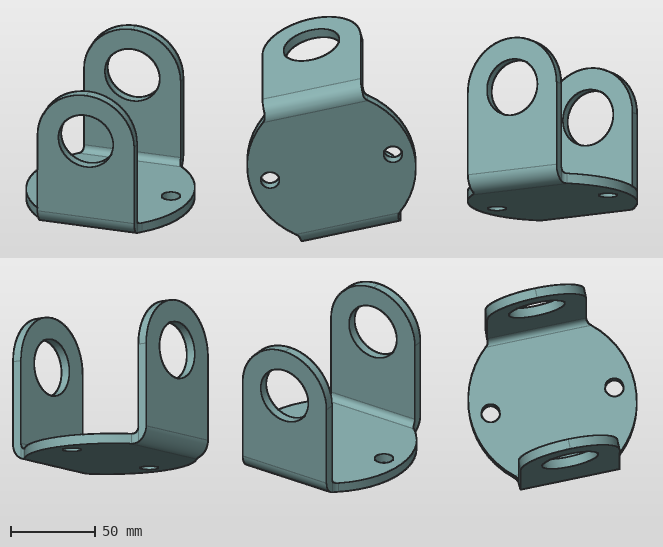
import cadquery as cq
import math

base_width = 100.0
base_depth = 100.0
thickness = 6.0
bend_inner_radius = 4.0
bend_outer_radius = bend_inner_radius + thickness

ear_width = 60.0
ear_top_radius = ear_width / 2
ear_hole_height = 60.0
ear_hole_diameter = 34.0
total_height = ear_hole_height + ear_top_radius

bulge_radius = 53.4
bulge_center_offset = bulge_radius - base_width / 2
neck_fillet_radius = 5.0
mount_hole_diameter = 11.0
mount_hole_spacing = 75.0


def make_bent_sheet():
    """U-shaped sheet, bent about X and as wide as the base."""
    outer = (
        cq.Workplane("XY")
        .box(base_width, base_depth, total_height, centered=(True, True, False))
        .edges("|X and <Z")
        .fillet(bend_outer_radius)
    )
    inner = (
        cq.Workplane("XY")
        .workplane(offset=thickness)
        .box(base_width, base_depth - 2 * thickness, total_height, centered=(True, True, False))
        .edges("|X and <Z")
        .fillet(bend_inner_radius)
    )
    return outer.cut(inner)


def make_plan_body():
    """Upright body with the plan outline: bulging base necking down to the ear width."""
    bulge_tip = math.sqrt(bulge_radius**2 - bulge_center_offset**2)
    bulge = (
        cq.Workplane("XY")
        .moveTo(0, -bulge_tip)
        .threePointArc((base_width / 2, 0), (0, bulge_tip))
        .threePointArc((-base_width / 2, 0), (0, -bulge_tip))
        .close()
        .extrude(total_height)
    )
    strip = cq.Workplane("XY").rect(ear_width, base_depth).extrude(total_height)
    depth_limit = cq.Workplane("XY").rect(base_width, base_depth).extrude(total_height)
    plan = bulge.intersect(depth_limit).union(strip)

    floor_half_depth = base_depth / 2 - thickness
    between_ears = cq.selectors.BoxSelector(
        (-base_width / 2, -floor_half_depth, 0),
        (base_width / 2, floor_half_depth, total_height),
    )
    return plan.edges("|Z").edges(between_ears).fillet(neck_fillet_radius)


def make_ear_waste():
    """Material above the round ear tops, removed through both ears."""
    block = (
        cq.Workplane("XZ")
        .center(0, ear_hole_height + ear_top_radius / 2)
        .rect(ear_width, ear_top_radius)
        .extrude(base_depth / 2, both=True)
    )
    return block.cut(make_ear_cylinder(2 * ear_top_radius))


def make_ear_cylinder(diameter):
    """Cylinder along Y through both ears, on the axis of the ear holes."""
    return (
        cq.Workplane("XZ")
        .center(0, ear_hole_height)
        .circle(diameter / 2)
        .extrude(base_depth / 2, both=True)
    )


def make_mount_holes():
    """Two holes through the base plate, side by side along X."""
    return (
        cq.Workplane("XY")
        .pushPoints([(-mount_hole_spacing / 2, 0), (mount_hole_spacing / 2, 0)])
        .circle(mount_hole_diameter / 2)
        .extrude(thickness)
    )


bracket = make_bent_sheet().intersect(make_plan_body())
bracket = bracket.cut(make_ear_waste())
bracket = bracket.cut(make_ear_cylinder(ear_hole_diameter))
result = bracket.cut(make_mount_holes())